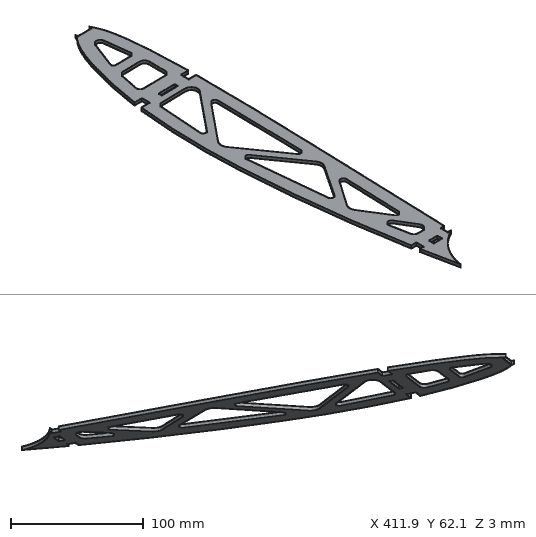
import cadquery as cq
import math

chord = 411.85
thickness = 3.0
beyond_skin = 40.0
tail_tip = (chord, -0.7)

nose_depth = 2.6
nose_bottom = 3.1
nose_top = 18.0
nose_skin_top = 19.3
nose_skin_bottom = 1.95

spar_front = 92.3
spar_back = 100.4
spar_floor = 22.9
spar_ceiling = -19.0
web_slot_width = 3.1
web_slot_bottom = -6.2
web_slot_top = 11.0

rear_front = 368.7
rear_back = 376.2
rear_floor = 21.7
rear_ceiling = -4.3
rear_hole_front = 373.7
rear_hole_back = 378.7
rear_hole_bottom = 4.3
rear_hole_top = 13.0

upper_skin = [
    (nose_depth, nose_skin_top),
    (12.3, 23.05),
    (26.0, 25.95),
    (55.0, 29.05),
    (79.0, 30.35),
    (112.4, 30.92),
    (210.0, 29.75),
    (304.3, 27.15),
    (rear_back, 25.4),
]
lower_skin = [
    (nose_depth, nose_skin_bottom),
    (8.0, -2.35),
    (16.1, -7.1),
    (33.0, -13.8),
    (50.3, -18.7),
    (75.0, -24.15),
    (99.2, -27.8),
    (125.0, -29.95),
    (155.0, -31.14),
    (210.3, -29.5),
    (285.3, -22.45),
    (365.0, -10.3),
    tail_tip,
]
tail_fairing_mid = (389.0, 9.15)

windows = [
    [(3.4, 10.8, 4.3), (48.6, 16.6, 3), (48.6, -6.5, 2.5)],
    [(58.4, 18, 5), (84.5, 18, 4), (84.5, -13.9, 4), (58.4, -8.6, 5)],
    [(106.9, 26.3, 6.5), (163.7, -20, 3), (106.9, -16.4, 4)],
    [(126.5, 19.3, 3), (233, 18.05, 3), (176.6, -21.6, 8)],
    [(191.4, -19.95, 3), (246.6, 19, 8), (289.4, -9.5, 3)],
    [(264.2, 16.35, 3), (340.9, 14.2, 3), (302.1, -10.1, 8)],
    [(320.1, -6.6, 3.4), (361.2, 18.4, 5), (361.2, 1.3, 5)],
]


def rib_blank():
    """Outer outline, from the nose over the top to the tail and back underneath."""
    outline = (
        cq.Workplane("XY")
        .moveTo(0, nose_top)
        .lineTo(*upper_skin[0])
        .spline(upper_skin[1:], includeCurrent=True)
        .threePointArc(tail_fairing_mid, tail_tip)
        .spline(lower_skin[-2::-1], includeCurrent=True)
        .lineTo(0, nose_bottom)
        .lineTo(nose_depth, nose_bottom)
        .lineTo(nose_depth, nose_top)
        .close()
    )
    return outline.extrude(thickness)


def box_cutter(x_min, x_max, y_min, y_max):
    """Rectangular cutter through the full thickness."""
    box = cq.Workplane("XY").box(x_max - x_min, y_max - y_min, thickness, centered=False)
    return box.translate((x_min, y_min, 0))


def notch_pair(front, back, floor, ceiling):
    """Cutter for two facing notches: one in from the upper skin, one in from the lower skin."""
    upper_notch = box_cutter(front, back, floor, beyond_skin)
    lower_notch = box_cutter(front, back, -beyond_skin, ceiling)
    return upper_notch.union(lower_notch)


def corner_arc(before, corner, after):
    """Start, middle and end of the round that replaces a sharp corner."""
    x, y, radius = corner
    to_before = math.atan2(before[1] - y, before[0] - x)
    to_after = math.atan2(after[1] - y, after[0] - x)
    bisector = math.atan2(
        math.sin(to_before) + math.sin(to_after), math.cos(to_before) + math.cos(to_after)
    )
    half_angle = math.acos(math.cos(to_before - bisector))
    tangent_length = radius / math.tan(half_angle)
    middle_length = radius / math.sin(half_angle) - radius
    steps = [(tangent_length, to_before), (middle_length, bisector), (tangent_length, to_after)]
    return [(x + step * math.cos(angle), y + step * math.sin(angle)) for step, angle in steps]


def window_cutter(corners):
    """Cutter for one window with rounded corners."""
    neighbours = zip(corners[-1:] + corners[:-1], corners, corners[1:] + corners[:1])
    arcs = [corner_arc(*trio) for trio in neighbours]
    start, middle, end = arcs[0]
    outline = cq.Workplane("XY").moveTo(*start).threePointArc(middle, end)
    for start, middle, end in arcs[1:]:
        outline = outline.lineTo(*start).threePointArc(middle, end)
    return outline.close().extrude(thickness)


result = rib_blank()
result = result.cut(notch_pair(spar_front, spar_back, spar_floor, spar_ceiling))
result = result.cut(notch_pair(rear_front, rear_back, rear_floor, rear_ceiling))
result = result.cut(box_cutter(spar_back - web_slot_width, spar_back, web_slot_bottom, web_slot_top))
result = result.cut(box_cutter(rear_hole_front, rear_hole_back, rear_hole_bottom, rear_hole_top))
for corners in windows:
    result = result.cut(window_cutter(corners))